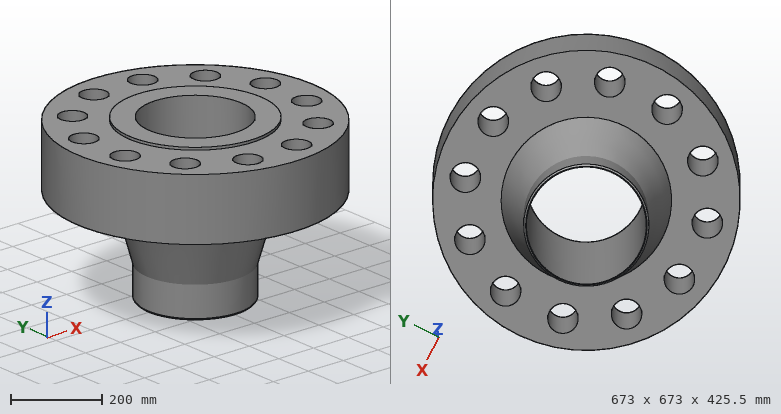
import cadquery as cq

flange_diameter = 673.0
flange_thickness = 164.0
face_diameter = 375.5
face_height = 7.0
total_height = 425.5

bore_diameter = 262.5
hub_diameter = 373.0
pipe_diameter = 274.0
pipe_length = 83.5
weld_bevel_width = 4.0
weld_bevel_height = 5.0

bolt_count = 12
bolt_circle_diameter = 539.0
bolt_hole_diameter = 66.5
bolt_start_angle = 180 / bolt_count

flange_top = total_height - face_height
flange_bottom = flange_top - flange_thickness


def flange_body():
    """Revolve the bored profile: weld end, tapered hub, flange and raised face."""
    bore_radius = bore_diameter / 2
    pipe_radius = pipe_diameter / 2
    hub_radius = hub_diameter / 2
    flange_radius = flange_diameter / 2
    face_radius = face_diameter / 2
    return (
        cq.Workplane("XZ")
        .moveTo(bore_radius, 0)
        .lineTo(pipe_radius - weld_bevel_width, 0)
        .lineTo(pipe_radius, weld_bevel_height)
        .lineTo(pipe_radius, pipe_length)
        .lineTo(hub_radius, flange_bottom)
        .lineTo(flange_radius, flange_bottom)
        .lineTo(flange_radius, flange_top)
        .lineTo(face_radius, flange_top)
        .lineTo(face_radius, total_height)
        .lineTo(bore_radius, total_height)
        .close()
        .revolve(360, (0, 0, 0), (0, 1, 0))
    )


def bolt_holes():
    """Cylinders that cut the ring of holes through the flange."""
    return (
        cq.Workplane("XY", origin=(0, 0, flange_bottom))
        .polarArray(bolt_circle_diameter / 2, bolt_start_angle, 360, bolt_count)
        .circle(bolt_hole_diameter / 2)
        .extrude(flange_thickness)
    )


result = flange_body().cut(bolt_holes())